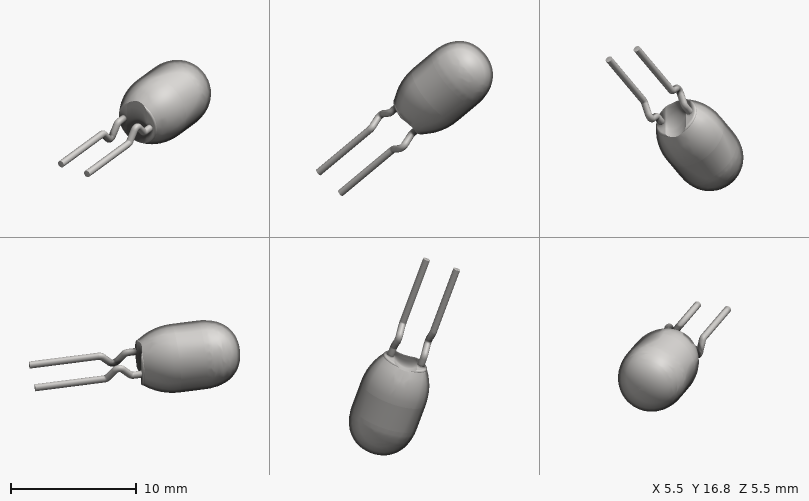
import cadquery as cq
import math

TOTAL_LENGTH = 16.76
LEAD_LENGTH = 8.61
BODY_LENGTH = TOTAL_LENGTH - LEAD_LENGTH
BODY_RADIUS = 2.75
BAND_START = 2.93
BAND_END = 5.08
DOME_FULLNESS = 0.62
BASE_RADIUS = 1.85
RIM_RADIUS = 0.17

GROOVE_WIDTH = 1.88
GROOVE_DEPTH = 0.23

LEAD_DIAMETER = 0.57
LEAD_SPACING = 2.55
LEAD_EMBED = 0.5
KINK_START = 0.65
KINK_LENGTH = 2.38
KINK_HEIGHT = 0.97
KINK_ANGLE = math.radians(50)


def make_body():
    """Revolve the tapered base, cylindrical band and blunt dome."""
    taper_length = BAND_START - RIM_RADIUS
    taper_drop = BODY_RADIUS - BASE_RADIUS
    taper_radius = (taper_length**2 + taper_drop**2) / (2 * taper_drop)
    half_sweep = math.asin(taper_length / taper_radius) / 2
    taper_middle = (
        BODY_RADIUS - taper_radius * (1 - math.cos(half_sweep)),
        BAND_START - taper_radius * math.sin(half_sweep),
    )
    dome_height = BODY_LENGTH - BAND_END

    dome_controls = [
        (BODY_RADIUS, BAND_END + DOME_FULLNESS * dome_height),
        (DOME_FULLNESS * BODY_RADIUS, BODY_LENGTH),
        (0, BODY_LENGTH),
    ]

    return (
        cq.Workplane("XY")
        .lineTo(BASE_RADIUS - RIM_RADIUS, 0)
        .radiusArc((BASE_RADIUS, RIM_RADIUS), -RIM_RADIUS)
        .threePointArc(taper_middle, (BODY_RADIUS, BAND_START))
        .lineTo(BODY_RADIUS, BAND_END)
        .bezier(dome_controls, includeCurrent=True)
        .close()
        .revolve(360, (0, 0), (0, 1))
    )


def make_groove():
    """Shallow circular-arc channel across the seating face, along Z."""
    half_width = GROOVE_WIDTH / 2
    return (
        cq.Workplane("XY")
        .moveTo(-half_width, 0)
        .threePointArc((0, GROOVE_DEPTH), (half_width, 0))
        .close()
        .extrude(BODY_RADIUS, both=True)
    )


def make_lead(x, side):
    """Round wire at x, kinked toward +Z (side = 1) or -Z (side = -1)."""
    half_length = KINK_LENGTH / 2
    sine = math.sin(KINK_ANGLE)
    cosine = math.cos(KINK_ANGLE)
    bend_radius = (half_length * sine - KINK_HEIGHT * cosine) / (2 * (1 - cosine))
    run = bend_radius * sine
    rise = bend_radius * (1 - cosine)
    half_run = bend_radius * math.sin(KINK_ANGLE / 2)
    half_rise = bend_radius * (1 - math.cos(KINK_ANGLE / 2))
    kink_end = KINK_START + KINK_LENGTH

    def at(distance, height):
        return (-distance, side * height)

    path = (
        cq.Workplane("YZ", origin=(x, 0, 0))
        .moveTo(*at(-LEAD_EMBED, 0))
        .lineTo(*at(KINK_START, 0))
        .threePointArc(at(KINK_START + half_run, half_rise), at(KINK_START + run, rise))
        .lineTo(*at(KINK_START + half_length - run, KINK_HEIGHT - rise))
        .threePointArc(
            at(KINK_START + half_length, KINK_HEIGHT),
            at(KINK_START + half_length + run, KINK_HEIGHT - rise),
        )
        .lineTo(*at(kink_end - run, rise))
        .threePointArc(at(kink_end - half_run, half_rise), at(kink_end, 0))
        .lineTo(*at(LEAD_LENGTH, 0))
    )
    return (
        cq.Workplane("XZ", origin=(x, LEAD_EMBED, 0))
        .circle(LEAD_DIAMETER / 2)
        .sweep(path)
    )


result = make_body().cut(make_groove())
for side in (-1, 1):
    result = result.union(make_lead(side * LEAD_SPACING / 2, side))